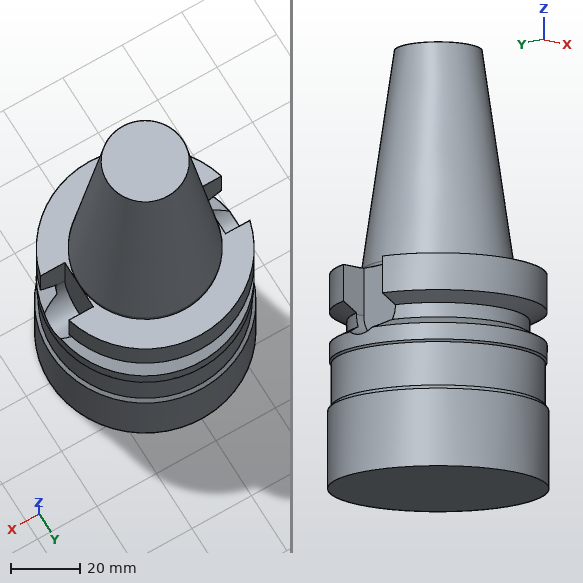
import cadquery as cq

total_height = 129.4
body_diameter = 64.0
collar_diameter = 62.0
flange_diameter = 63.0
groove_diameter = 52.9
gauge_diameter = 44.5

body_top = 22.9
collar_bottom = 24.1
collar_top = 36.9
flange_bottom = 37.5
groove_lower_edge = 42.5
groove_floor_bottom = 45.2
groove_floor_top = 49.4
groove_upper_edge = 52.1
flange_top = 63.0
gauge_height = 64.0

taper_ratio = 7 / 24
tip_diameter = gauge_diameter - taper_ratio * (total_height - gauge_height)

slot_width = 16.0
slot_bottom = 41.0
slot_floor_radius = gauge_diameter / 2


def make_holder():
    """Revolve the holder's half profile (radius, height) about Z."""
    profile = [
        (0, 0),
        (body_diameter / 2, 0),
        (body_diameter / 2, body_top),
        (collar_diameter / 2, collar_bottom),
        (collar_diameter / 2, collar_top),
        (flange_diameter / 2, flange_bottom),
        (flange_diameter / 2, groove_lower_edge),
        (groove_diameter / 2, groove_floor_bottom),
        (groove_diameter / 2, groove_floor_top),
        (flange_diameter / 2, groove_upper_edge),
        (flange_diameter / 2, flange_top),
        (gauge_diameter / 2, flange_top),
        (gauge_diameter / 2, gauge_height),
        (tip_diameter / 2, total_height),
        (0, total_height),
    ]
    return cq.Workplane("XZ").polyline(profile).close().revolve(360, (0, 0), (0, 1))


def make_drive_slot(side):
    """Round-bottomed slot cutter running outward along X; side is -1 or +1."""
    half_width = slot_width / 2
    arc_center_height = slot_bottom + half_width
    slot_length = body_diameter / 2 - slot_floor_radius
    return (
        cq.Workplane("YZ", origin=(side * slot_floor_radius, 0, 0))
        .moveTo(-half_width, flange_top)
        .lineTo(-half_width, arc_center_height)
        .threePointArc((0, slot_bottom), (half_width, arc_center_height))
        .lineTo(half_width, flange_top)
        .close()
        .extrude(side * slot_length)
    )


result = make_holder()
for side in (-1, 1):
    result = result.cut(make_drive_slot(side))